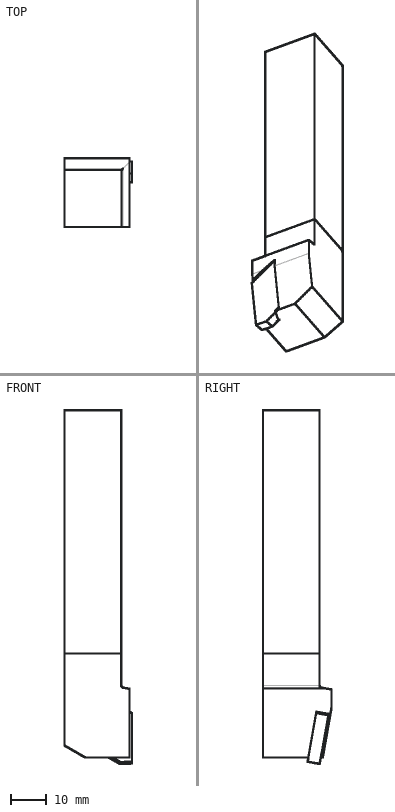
import cadquery as cq
import math

total_height = 99.6
shank_side = 16.0
joint_height = 31.2

head_width = 18.3
head_depth = 19.4
head_bottom = 1.8
ledge_height = 21.6
ledge_fillet = 0.6
lead_angle = math.radians(30)
lead_width = 5.9
ledge_drop = math.tan(math.radians(10))
back_taper_top = 16.0

insert_lean = math.radians(10)
insert_thickness = 3.5
insert_left = 11.1
insert_right = 19.0
insert_nose_x = 15.6
insert_right_height = 13.9
end_rise = 0.1
insert_tip_y = 16.0
pocket_clearance = 3.0


def make_shank():
    """Plain square bar standing on the head."""
    height = total_height - joint_height
    return (
        cq.Workplane("XY", origin=(0, 0, joint_height))
        .rect(shank_side, shank_side, centered=False)
        .extrude(height)
    )


def make_side_outline():
    """Head seen from the side, full width, with its ledge and tapered back."""
    taper_inset = (back_taper_top - head_bottom) * math.tan(insert_lean)
    ledge_end = ledge_height - (head_depth - shank_side) * ledge_drop
    return (
        cq.Workplane("YZ")
        .moveTo(0, head_bottom)
        .lineTo(head_depth - taper_inset, head_bottom)
        .lineTo(head_depth, back_taper_top)
        .lineTo(head_depth, ledge_end)
        .lineTo(shank_side, ledge_height)
        .lineTo(shank_side, joint_height)
        .lineTo(0, joint_height)
        .close()
        .extrude(head_width)
    )


def make_front_outline():
    """Head seen from the front, full depth, with its ledge and lead chamfer."""
    lead_height = lead_width * math.tan(lead_angle)
    ledge_end = ledge_height - (head_width - shank_side) * ledge_drop
    return (
        cq.Workplane("XZ")
        .moveTo(0, head_bottom + lead_height)
        .lineTo(lead_width, head_bottom)
        .lineTo(head_width, head_bottom)
        .lineTo(head_width, ledge_end)
        .lineTo(shank_side, ledge_height)
        .lineTo(shank_side, joint_height)
        .lineTo(0, joint_height)
        .close()
        .extrude(-head_depth)
    )


def make_insert_plate(back_extension=0.0):
    """Leaning plate with parallel lead and top edges, optionally thickened to the back."""
    normal = cq.Vector(0, -math.cos(insert_lean), math.sin(insert_lean))
    origin = cq.Vector(0, insert_tip_y, 0) - normal * back_extension
    rise = math.tan(lead_angle)
    left_bottom = (insert_nose_x - insert_left) * rise
    left_top = insert_right_height + (insert_right - insert_left) * rise
    return (
        cq.Workplane(cq.Plane(origin, xDir=(1, 0, 0), normal=normal))
        .moveTo(insert_nose_x, 0)
        .lineTo(insert_right, end_rise)
        .lineTo(insert_right, insert_right_height)
        .lineTo(insert_left, left_top)
        .lineTo(insert_left, left_bottom)
        .close()
        .extrude(insert_thickness + back_extension)
    )


def make_head():
    """Common shape of both outlines, with filleted ledges and an insert pocket open to the back."""
    body = make_side_outline().intersect(make_front_outline())
    root_edges = cq.selectors.BoxSelector(
        (0, 0, ledge_height - ledge_fillet),
        (shank_side + ledge_fillet, shank_side + ledge_fillet, ledge_height + ledge_fillet),
    )
    body = body.edges(root_edges).fillet(ledge_fillet)
    return body.cut(make_insert_plate(pocket_clearance))


shank = make_shank()
head = make_head()
insert = make_insert_plate()

result = cq.Compound.makeCompound([shank.val(), head.val(), insert.val()])